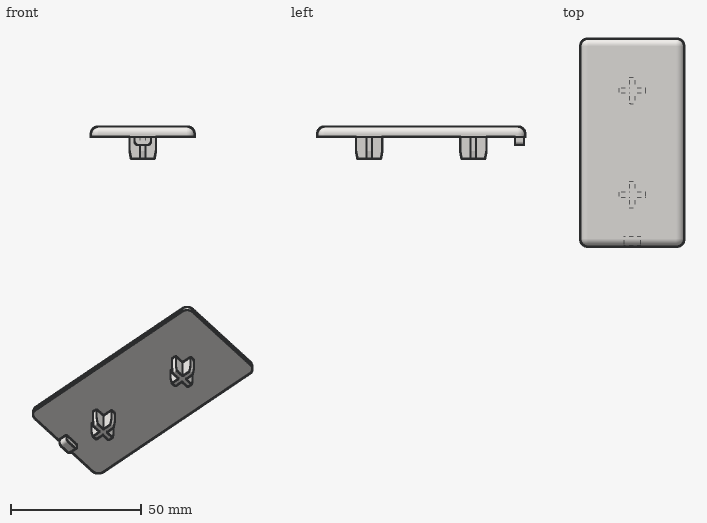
import cadquery as cq

plate_width = 40.0
plate_length = 80.0
plate_thickness = 4.0
plate_rounding = 3.0

post_radius = 5.1
post_height = 8.5
post_spacing = 40.0
fin_thickness = 2.0
post_taper_height = 3.0
post_tip_radius = 4.55
post_tip_rounding = 0.5

tab_width = 6.25
tab_depth = 3.5
tab_height = 3.2
tab_rounding = 1.4
tab_edge_gap = 0.5


def make_plate():
    """Plate with equally rounded corners and top edges."""
    plate = cq.Workplane("XY").box(
        plate_width, plate_length, plate_thickness, centered=(True, True, False)
    )
    return plate.edges("|Z or >Z").fillet(plate_rounding)


def make_post():
    """Two crossed fins trimmed to a round envelope that tapers at the tip."""
    envelope = (
        cq.Workplane("XZ")
        .lineTo(post_radius, 0)
        .lineTo(post_radius, post_taper_height - post_height)
        .lineTo(post_tip_radius, -post_height)
        .lineTo(0, -post_height)
        .close()
        .revolve(360, (0, 0, 0), (0, 1, 0))
        .faces("<Z")
        .edges()
        .fillet(post_tip_rounding)
    )
    fin = cq.Workplane("XY").rect(2 * post_radius, fin_thickness).extrude(-post_height)
    cross_fin = fin.rotate((0, 0, 0), (0, 0, 1), 90)
    return envelope.intersect(fin.union(cross_fin))


def make_tab():
    """Upright tab with its two lower corners rounded."""
    tab_center_y = -plate_length / 2 + tab_edge_gap + tab_depth / 2
    return (
        cq.Workplane("XY")
        .center(0, tab_center_y)
        .rect(tab_width, tab_depth)
        .extrude(-tab_height)
        .edges("<Z and |Y")
        .fillet(tab_rounding)
    )


result = make_plate().union(make_tab())
for post_y in (-post_spacing / 2, post_spacing / 2):
    result = result.union(make_post().translate((0, post_y, 0)))